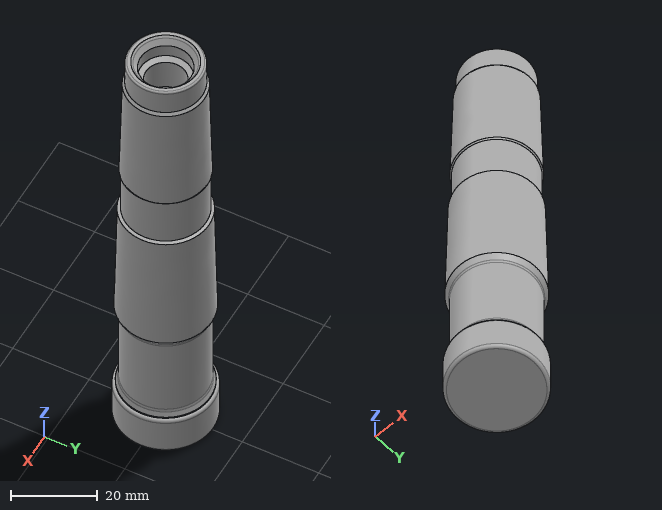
import cadquery as cq
import math

total_height = 124.0

cap_diameter = 24.9
cap_height = 10.9
cap_edge_radius = 0.9

waist_diameter = 21.8
foot_diameter = 23.3
foot_rim = 0.4
foot_flare_top = 12.5
flare_blend = 0.7
waist_top = 35.7

lower_grip_bottom = 38.1
lower_grip_top = 72.2
lower_grip_bottom_diameter = 24.0
lower_grip_top_diameter = 22.6

collar_diameter = 21.0
collar_bottom = 72.5
collar_top = 85.8

upper_grip_bottom = 86.2
upper_grip_top = 116.3
upper_grip_bottom_diameter = 21.7
upper_grip_top_diameter = 20.2

spigot_diameter = 19.0
spigot_bottom = 117.0
spigot_edge_radius = 0.5

mouth_diameter = 16.1
mouth_chamfer = 0.5
countersink_diameter = mouth_diameter - 2 * mouth_chamfer
countersink_bottom_depth = 2.0
socket_diameter = 13.0
socket_depth = 5.5
bore_diameter = 10.3
bore_depth = 14.9
pilot_diameter = 5.0
pilot_length = 5.0
drill_point_angle = 118.0


def revolve_profile(points):
    """Revolve (diameter, height) points about Z, closing the outline along the axis."""
    outline = [(diameter / 2, height) for diameter, height in points]
    return cq.Workplane("XZ").polyline(outline).close().revolve(360, (0, 0, 0), (0, 1, 0))


def make_cap():
    cap = cq.Workplane("XY").circle(cap_diameter / 2).extrude(cap_height)
    return cap.faces("<Z or >Z").edges().fillet(cap_edge_radius)


def drill_cone_depth(outer_diameter, inner_diameter):
    """Height of the conical floor that a drill leaves between two diameters."""
    radial_width = (outer_diameter - inner_diameter) / 2
    return radial_width / math.tan(math.radians(drill_point_angle / 2))


def make_socket():
    shelf_outer = total_height - socket_depth
    shelf_inner = shelf_outer - drill_cone_depth(socket_diameter, bore_diameter)
    bore_floor = total_height - bore_depth
    pilot_top = bore_floor - drill_cone_depth(bore_diameter, pilot_diameter)
    pilot_bottom = pilot_top - pilot_length
    pilot_tip = pilot_bottom - drill_cone_depth(pilot_diameter, 0)
    return revolve_profile([
        (0, total_height),
        (mouth_diameter, total_height),
        (countersink_diameter, total_height - mouth_chamfer),
        (socket_diameter, total_height - countersink_bottom_depth),
        (socket_diameter, shelf_outer),
        (bore_diameter, shelf_inner),
        (bore_diameter, bore_floor),
        (pilot_diameter, pilot_top),
        (pilot_diameter, pilot_bottom),
        (0, pilot_tip),
    ])


def make_handle():
    blend_diameter = waist_diameter + flare_blend / 2
    shaft = revolve_profile([
        (0, cap_height),
        (foot_diameter, cap_height),
        (foot_diameter, cap_height + foot_rim),
        (blend_diameter, foot_flare_top),
        (waist_diameter, foot_flare_top + flare_blend),
        (waist_diameter, waist_top),
        (blend_diameter, waist_top + flare_blend),
        (lower_grip_bottom_diameter, lower_grip_bottom),
        (lower_grip_top_diameter, lower_grip_top),
        (collar_diameter, collar_bottom),
        (collar_diameter, collar_top),
        (upper_grip_bottom_diameter, upper_grip_bottom),
        (upper_grip_top_diameter, upper_grip_top),
        (spigot_diameter, spigot_bottom),
        (spigot_diameter, total_height),
        (0, total_height),
    ])
    shaft = shaft.faces(">Z").edges().fillet(spigot_edge_radius)
    return shaft.cut(make_socket())


cap = make_cap()
handle = make_handle()
result = cq.Compound.makeCompound([cap.val(), handle.val()])